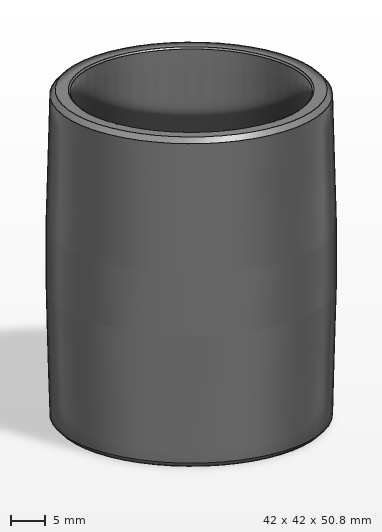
import cadquery as cq

height = 50.8
outer_diameter = 42.0
bore_diameter = 35.05

band_height = 9.55
end_diameter = 40.9

outer_chamfer = 0.75
bore_chamfer = 0.25

outer_radius = outer_diameter / 2
end_radius = end_diameter / 2
bore_radius = bore_diameter / 2
half_height = height / 2
half_band = band_height / 2
shoulder_z = half_height - outer_chamfer

upper_profile = [
    (outer_radius, half_band),
    (end_radius, shoulder_z),
    (end_radius - outer_chamfer, half_height),
    (bore_radius + bore_chamfer, half_height),
    (bore_radius, half_height - bore_chamfer),
]

lower_profile = [(radius, -z) for radius, z in reversed(upper_profile)]

result = (
    cq.Workplane("XZ")
    .polyline(upper_profile + lower_profile)
    .close()
    .revolve(360, (0, 0, 0), (0, 1, 0))
)